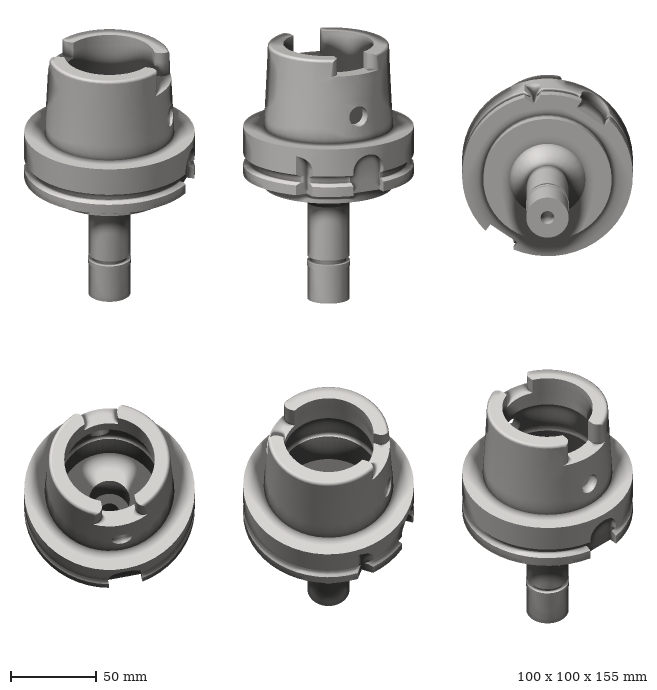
import cadquery as cq
import math


TOTAL_HEIGHT = 155.0

TAPER_HEIGHT = 50.0
TAPER_BASE_R = 38.0
TAPER_SLOPE = 1 / 20
TAPER_TOP_R = TAPER_BASE_R - TAPER_HEIGHT * TAPER_SLOPE
RIM_FILLET = 1.9

FLANGE_DIAMETER = 100.0
FLANGE_R = FLANGE_DIAMETER / 2
FLANGE_BOTTOM = -29.0
GROOVE_R = 46.2
GROOVE_TOP = -16.6
GROOVE_BOTTOM = -23.1
FLANK_HEIGHT = 1.4
FLANK_ANGLE = 60
FLANK_R = FLANGE_R - FLANK_HEIGHT * math.tan(math.radians(FLANK_ANGLE))

COLLAR_R = 37.5
COLLAR_BOTTOM = -36.6
CONE_TOP_R = 22.2
SHANK_R = 12.4
CONE_BOTTOM = COLLAR_BOTTOM - (CONE_TOP_R - SHANK_R)
SHANK_BOTTOM = -78.7
NOSE_R = 10.4
NOSE_BOTTOM = -98.7

MOUTH_R = 26.5
MOUTH_DEPTH = 20.0
CAVITY_R = 31.5
WELL_R = 29.5
WELL_FLOOR = -15.3
CAVITY_FILLET = CAVITY_R - WELL_R
CAVITY_BOTTOM = 7.5
MOUTH_BOTTOM = TAPER_HEIGHT - MOUTH_DEPTH
TUBE_BORE_R = 12.0
TUBE_BORE_BOTTOM = COLLAR_BOTTOM
COOLANT_R = 5.9

CROSS_HOLE_R = 6.0
CROSS_HOLE_Z = 15.0
KEY_WIDTH = 20.0
KEY_HALF_WIDTH = KEY_WIDTH / 2
DRIVE_FLAT_X = 32.4
DRIVE_CORNER_R = 5.0
DRIVE_DEPTHS = {-1: 9.9, 1: 15.0}
KEYWAY_FLOOR_X = 44.0
KEYWAY_TOP = -4.8
NOTCH_CORNER = 31.6
NOTCH_R = 8.0
NOTCH_TOP = -5.1

NUT_R = SHANK_R
NUT_RIM_R = 12.7
NUT_TOP = -81.7
NUT_RIM_HEIGHT = 2.8
NUT_BOTTOM = TAPER_HEIGHT - TOTAL_HEIGHT

COLLET_BORE_R = 4.0
COLLET_TOP = SHANK_BOTTOM
COLLET_ANGLE = 8
COLLET_WIDE_R = COOLANT_R + (COLLET_TOP - NOSE_BOTTOM) * math.tan(math.radians(COLLET_ANGLE))
COLLET_TIP_R = 7.1

CLEAR = 62.0


def revolve(profile):
    """Turn a closed (radius, z) outline about the Z axis."""
    return profile.close().revolve(360, (0, 0, 0), (0, 1, 0))


def cylinder(radius, bottom, top):
    return cq.Workplane("XY").workplane(offset=bottom).circle(radius).extrude(top - bottom)


def holder_blank():
    outline = cq.Workplane("XZ").polyline([
        (0, TAPER_HEIGHT),
        (TAPER_TOP_R, TAPER_HEIGHT),
        (TAPER_BASE_R, 0),
        (FLANGE_R, 0),
        (FLANGE_R, GROOVE_TOP),
        (FLANK_R, GROOVE_TOP - FLANK_HEIGHT),
        (GROOVE_R, GROOVE_TOP - FLANK_HEIGHT),
        (GROOVE_R, GROOVE_BOTTOM + FLANK_HEIGHT),
        (FLANK_R, GROOVE_BOTTOM + FLANK_HEIGHT),
        (FLANGE_R, GROOVE_BOTTOM),
        (FLANGE_R, FLANGE_BOTTOM),
        (COLLAR_R, FLANGE_BOTTOM),
        (COLLAR_R, COLLAR_BOTTOM),
        (CONE_TOP_R, COLLAR_BOTTOM),
        (SHANK_R, CONE_BOTTOM),
        (SHANK_R, SHANK_BOTTOM),
        (NOSE_R, SHANK_BOTTOM),
        (NOSE_R, NOSE_BOTTOM),
        (0, NOSE_BOTTOM),
    ])
    return revolve(outline).faces(">Z").edges().fillet(RIM_FILLET)


def holder_bore():
    """Mouth, undercut cavity with a rounded bottom corner, well, tube bore, coolant bore and collet seat."""
    diagonal = CAVITY_FILLET * math.sqrt(0.5)
    outline = (
        cq.Workplane("XZ")
        .moveTo(0, TAPER_HEIGHT)
        .lineTo(MOUTH_R, TAPER_HEIGHT)
        .lineTo(MOUTH_R, MOUTH_BOTTOM)
        .lineTo(CAVITY_R, MOUTH_BOTTOM)
        .lineTo(CAVITY_R, CAVITY_BOTTOM + CAVITY_FILLET)
        .threePointArc(
            (WELL_R + diagonal, CAVITY_BOTTOM + CAVITY_FILLET - diagonal),
            (WELL_R, CAVITY_BOTTOM),
        )
        .lineTo(WELL_R, WELL_FLOOR)
        .lineTo(TUBE_BORE_R, WELL_FLOOR)
        .lineTo(TUBE_BORE_R, TUBE_BORE_BOTTOM)
        .lineTo(COOLANT_R, TUBE_BORE_BOTTOM)
        .lineTo(COOLANT_R, COLLET_TOP)
        .lineTo(COLLET_WIDE_R, NOSE_BOTTOM)
        .lineTo(0, NOSE_BOTTOM)
    )
    return revolve(outline)


def cross_hole():
    plane = cq.Workplane("YZ").center(0, CROSS_HOLE_Z)
    return plane.circle(CROSS_HOLE_R).extrude(CLEAR, both=True)


def drive_slot(side, depth):
    """Slot in the taper rim that opens through rounded corners onto a flat across the taper."""
    corner_x = DRIVE_FLAT_X - DRIVE_CORNER_R
    corner_y = KEY_HALF_WIDTH + DRIVE_CORNER_R
    mid = DRIVE_CORNER_R * math.sqrt(0.5)
    return (
        cq.Workplane("XY").workplane(offset=TAPER_HEIGHT - depth)
        .moveTo(0, -KEY_HALF_WIDTH)
        .lineTo(side * corner_x, -KEY_HALF_WIDTH)
        .threePointArc((side * (corner_x + mid), mid - corner_y), (side * DRIVE_FLAT_X, -corner_y))
        .lineTo(side * DRIVE_FLAT_X, -CLEAR)
        .lineTo(side * CLEAR, -CLEAR)
        .lineTo(side * CLEAR, CLEAR)
        .lineTo(side * DRIVE_FLAT_X, CLEAR)
        .lineTo(side * DRIVE_FLAT_X, corner_y)
        .threePointArc((side * (corner_x + mid), corner_y - mid), (side * corner_x, KEY_HALF_WIDTH))
        .lineTo(0, KEY_HALF_WIDTH)
        .close()
        .extrude(depth)
    )


def round_topped_slot(side, floor_x, center_y, radius, top):
    """Flange slot cut inward along X, open at the flange bottom and round at the top."""
    return (
        cq.Workplane("YZ").workplane(offset=side * floor_x)
        .moveTo(center_y - radius, FLANGE_BOTTOM)
        .lineTo(center_y - radius, top - radius)
        .threePointArc((center_y, top), (center_y + radius, top - radius))
        .lineTo(center_y + radius, FLANGE_BOTTOM)
        .close()
        .extrude(side * (CLEAR - floor_x))
    )


def make_holder():
    holder = holder_blank().cut(holder_bore()).cut(cross_hole())
    for side, depth in DRIVE_DEPTHS.items():
        holder = holder.cut(drive_slot(side, depth))
        holder = holder.cut(round_topped_slot(side, KEYWAY_FLOOR_X, 0, KEY_HALF_WIDTH, KEYWAY_TOP))
    notch = round_topped_slot(-1, NOTCH_CORNER, NOTCH_CORNER + NOTCH_R, NOTCH_R, NOTCH_TOP)
    return holder.cut(notch)


def make_nut():
    """Nut around the holder nose, with a raised rim at its top and a lip under the collet."""
    nut = cylinder(NUT_R, NUT_BOTTOM, NUT_TOP)
    nut = nut.union(cylinder(NUT_RIM_R, NUT_TOP - NUT_RIM_HEIGHT, NUT_TOP))
    nut = nut.cut(cylinder(NOSE_R, NOSE_BOTTOM, NUT_TOP))
    return nut.cut(cylinder(COLLET_TIP_R, NUT_BOTTOM, NOSE_BOTTOM))


def make_collet():
    """Tapered sleeve held in the nose, with a straight tip through the nut's lip."""
    return revolve(cq.Workplane("XZ").polyline([
        (COLLET_BORE_R, COLLET_TOP),
        (COOLANT_R, COLLET_TOP),
        (COLLET_WIDE_R, NOSE_BOTTOM),
        (COLLET_TIP_R, NOSE_BOTTOM),
        (COLLET_TIP_R, NUT_BOTTOM),
        (COLLET_BORE_R, NUT_BOTTOM),
    ]))


holder = make_holder()
nut = make_nut()
collet = make_collet()

result = cq.Compound.makeCompound([holder.val(), nut.val(), collet.val()])